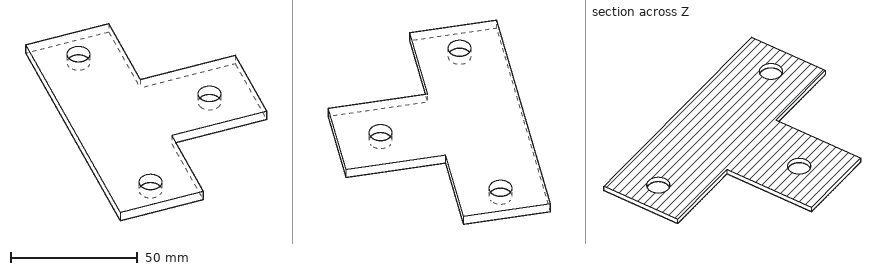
import cadquery as cq

bar_length = 105.0
arm_width = 35.0
overall_depth = 75.0
thickness = 4.5
hole_diameter = 9.0
hole_pitch = 40.0

stem_end = overall_depth - arm_width / 2


def make_plate():
    """Flat T: a bar along X with a stem of the same width along +Y."""
    bar = cq.Workplane("XY").box(bar_length, arm_width, thickness, centered=(True, True, False))
    stem = (
        cq.Workplane("XY")
        .box(arm_width, stem_end, thickness, centered=(True, False, False))
    )
    return bar.union(stem).clean()


def drill_holes(plate):
    """One through hole in each arm of the T."""
    hole_centres = [(-hole_pitch, 0), (hole_pitch, 0), (0, hole_pitch)]
    drills = (
        cq.Workplane("XY")
        .pushPoints(hole_centres)
        .circle(hole_diameter / 2)
        .extrude(thickness)
    )
    return plate.cut(drills)


result = drill_holes(make_plate())